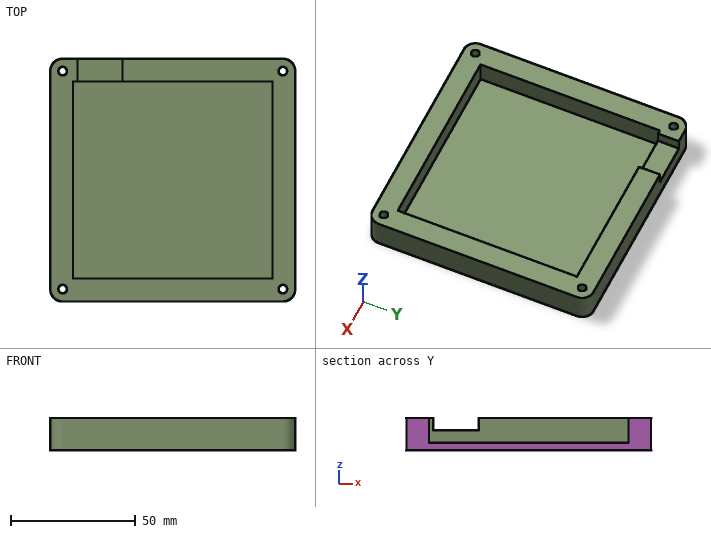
import cadquery as cq

length_x = 98.6
width_y = 97.7
height = 13.0
corner_radius = 5.0

wall = 9.3
cavity_depth = 10.0

notch_width = 18.2
notch_depth = 4.9
notch_from_cavity_side = 1.7

hole_diameter = 3.4


def make_block():
    """Solid block standing on Z = 0 with rounded vertical corners."""
    block = cq.Workplane("XY").box(length_x, width_y, height, centered=(True, True, False))
    return block.edges("|Z").fillet(corner_radius)


def make_cavity():
    """Rectangular cavity sunk from the top face."""
    return (
        cq.Workplane("XY")
        .workplane(offset=height - cavity_depth)
        .rect(length_x - 2 * wall, width_y - 2 * wall)
        .extrude(cavity_depth)
    )


def make_notch():
    """Shallow passage from the cavity out through the rear wall."""
    left = -length_x / 2 + wall + notch_from_cavity_side
    front = width_y / 2 - wall
    return (
        cq.Workplane("XY")
        .box(notch_width, wall, notch_depth, centered=False)
        .translate((left, front, height - notch_depth))
    )


def make_screw_holes():
    """Four through holes on the corner-radius centres."""
    return (
        cq.Workplane("XY")
        .rect(length_x - 2 * corner_radius, width_y - 2 * corner_radius, forConstruction=True)
        .vertices()
        .circle(hole_diameter / 2)
        .extrude(height)
    )


result = make_block().cut(make_cavity()).cut(make_notch()).cut(make_screw_holes())